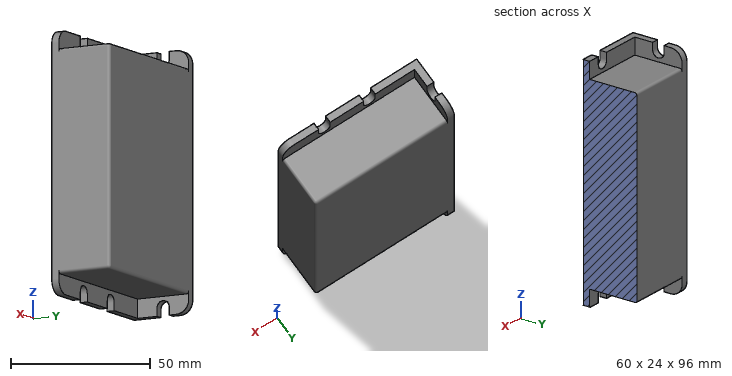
import cadquery as cq

width = 60.0
depth = 24.0
height = 96.0

plate_thickness = 3.0
corner_radius = 5.0

slot_width = 5.0
slot_depth = 5.5
front_slot_positions = (22.5, 42.0)
side_slot_positions = (13.4,)

housing_setback = 7.0
housing_edge_radius = 1.1


def slotted_plate(plane, length, inward, free_edge, slot_positions):
    """Plate from the bracket corner, with Z as the second axis of its plane.

    `inward` is the signed extrusion into the part, and `free_edge` selects the
    corner edges of the plate that lie away from the bracket corner.
    """
    blank = cq.Workplane(plane).center(length / 2, 0).rect(length, height).extrude(inward)
    blank = blank.edges(free_edge).fillet(corner_radius)
    slot_centres = [(place, end * height / 2) for place in slot_positions for end in (-1, 1)]
    slots = (
        cq.Workplane(plane)
        .pushPoints(slot_centres)
        .slot2D(2 * slot_depth, slot_width, 90)
        .extrude(inward)
    )
    return blank.cut(slots)


def housing():
    """Block filling the bracket, rounded along every edge of its +X and +Y faces."""
    block = cq.Workplane("XY").box(
        width - plate_thickness,
        depth - plate_thickness,
        height - 2 * housing_setback,
        centered=(False, False, True),
    )
    return (
        block.edges("(|Z and >X and >Y) or (|Y and >X) or (|X and >Y)")
        .fillet(housing_edge_radius)
        .translate((plate_thickness, plate_thickness, 0))
    )


front_plate = slotted_plate("XZ", width, -plate_thickness, "|Y and >X", front_slot_positions)
side_plate = slotted_plate("YZ", depth, plate_thickness, "|X and >Y", side_slot_positions)

result = front_plate.union(side_plate).union(housing())